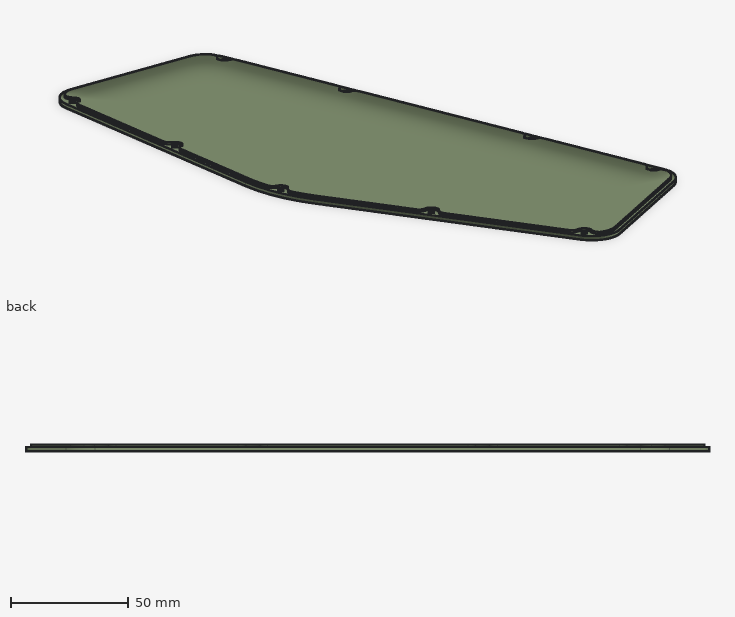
import cadquery as cq
import math

length = 291.7
width = 120.8
height = 3.0

slope = math.radians(15)
corner_radius = 12.8
front_radius = 70.0

panel_height = 1.0
rim_width = 2.0
base_height = height - panel_height

hole_diameter = 2.4
clearance_radius = 3.2
clearance_blend = 3.5
hole_inset = 3.2
sloped_edge_hole_inset = 3.5
back_hole_offsets = (49.0, 113.8)
front_hole_offsets = (68.0, 135.5)

back_y = width / 2
apex_y = -width / 2 - front_radius * (1 / math.cos(slope) - 1)


def front_edge_y(x):
    """Y of the sloped front edge at a given X."""
    return apex_y + abs(x) * math.tan(slope)


def sharp_outline():
    """Five sharp corners; the sides meet the front edges at right angles."""
    centre_x = length / 2 - corner_radius
    centre_y = front_edge_y(centre_x) + corner_radius / math.cos(slope)
    diagonal = corner_radius * math.sqrt(2)
    side_x = centre_x + diagonal * math.cos(math.pi / 4 - slope)
    side_y = centre_y - diagonal * math.sin(math.pi / 4 - slope)
    back_x = side_x - (back_y - side_y) * math.tan(slope)
    return [(0, apex_y), (side_x, side_y), (back_x, back_y), (-back_x, back_y), (-side_x, side_y)]


def rounded_plate(thickness):
    """Plate with a wide front rounding and four smaller corner roundings."""
    plate = cq.Workplane("XY").polyline(sharp_outline()).close().extrude(thickness)
    plate = plate.edges("|Z").edges("<Y").fillet(front_radius)
    box_front_y = front_edge_y(length / 4)
    other_corners = cq.selectors.BoxSelector((-length, box_front_y, 0), (length, width, thickness))
    return plate.edges("|Z").edges(other_corners).fillet(corner_radius)


def hole_centres():
    """Holes along the back edge, the front edges and at the front apex, mirrored in X."""
    centres = [(0, -width / 2 + hole_inset)]
    for side in (-1, 1):
        for offset in back_hole_offsets:
            centres.append((side * offset, back_y - hole_inset))
        for offset in front_hole_offsets:
            centres.append((side * offset, front_edge_y(offset) + sloped_edge_hole_inset / math.cos(slope)))
    return centres


def raised_panel(base, centres):
    """Panel inset from the base outline, with blended clearances at the holes."""
    base_outline = base.faces(">Z").wires().toPending()
    inset_panel = base_outline.offset2D(-rim_width).extrude(panel_height, combine=False)
    clearances = (
        cq.Workplane("XY", origin=(0, 0, base_height))
        .pushPoints(centres)
        .circle(clearance_radius)
        .extrude(panel_height)
    )
    notched_outline = inset_panel.cut(clearances).faces("<Z").wires().toPending()
    shrunk_outline = notched_outline.offset2D(-clearance_blend)
    return shrunk_outline.offset2D(clearance_blend).extrude(panel_height, combine=False)


centres = hole_centres()
base = rounded_plate(base_height)
holes = cq.Workplane("XY").pushPoints(centres).circle(hole_diameter / 2).extrude(height)
result = base.union(raised_panel(base, centres)).cut(holes)